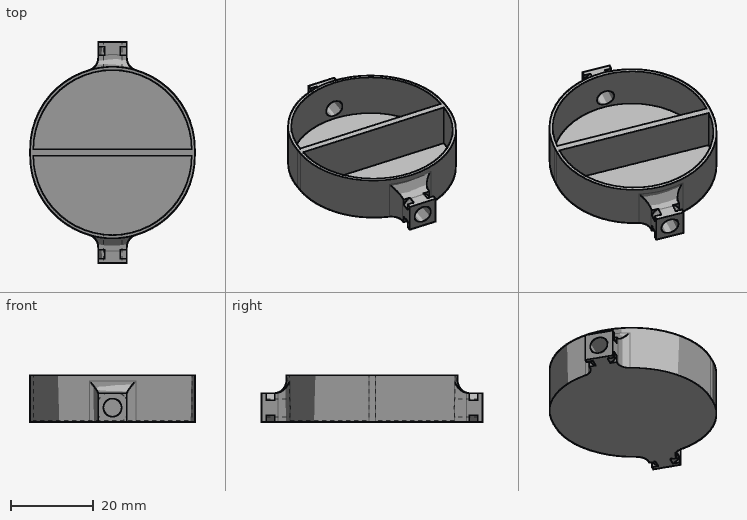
import cadquery as cq
import math

overall_length = 53.6
body_width = 40.0
body_height = 11.4

wall = 0.8
divider = 1.6
floor = 0.45
outer_radius = body_width / 2
inner_radius = outer_radius - wall
half_disc_offset = divider / 2

lug_size = 7.0
lug_half = lug_size / 2
lug_end = overall_length / 2
flare_radius = 3.0
bore_diameter = 4.4

groove_diameter = 7.95
groove_width = 2.15
groove_end_gap = 1.1


def make_body():
    """Solid outline of the cup: two half discs joined by straight sides."""
    return (
        cq.Workplane("XY")
        .moveTo(outer_radius, -half_disc_offset)
        .lineTo(outer_radius, half_disc_offset)
        .threePointArc((0, half_disc_offset + outer_radius), (-outer_radius, half_disc_offset))
        .lineTo(-outer_radius, -half_disc_offset)
        .threePointArc((0, -half_disc_offset - outer_radius), (outer_radius, -half_disc_offset))
        .close()
        .extrude(body_height)
    )


def make_pocket():
    """Half-disc compartment on the +Y side of the divider."""
    return (
        cq.Workplane("XY", origin=(0, half_disc_offset, floor))
        .moveTo(inner_radius, 0)
        .threePointArc((0, inner_radius), (-inner_radius, 0))
        .close()
        .extrude(body_height)
    )


def make_lug_plan():
    """Lug seen in plan, with side flares tangent to the curved wall."""
    centre_x = lug_half + flare_radius
    centre_distance = outer_radius + flare_radius
    angle = math.acos(centre_x / centre_distance)
    centre_y = half_disc_offset + centre_distance * math.sin(angle)
    wall_x = outer_radius * math.cos(angle)
    wall_y = half_disc_offset + outer_radius * math.sin(angle)
    middle_angle = math.pi + angle / 2
    middle_x = centre_x + flare_radius * math.cos(middle_angle)
    middle_y = centre_y + flare_radius * math.sin(middle_angle)
    return (
        cq.Workplane("XY")
        .moveTo(0, half_disc_offset + inner_radius)
        .lineTo(wall_x, wall_y)
        .threePointArc((middle_x, middle_y), (lug_half, centre_y))
        .lineTo(lug_half, lug_end)
        .lineTo(-lug_half, lug_end)
        .lineTo(-lug_half, centre_y)
        .threePointArc((-middle_x, middle_y), (-wall_x, wall_y))
        .close()
        .extrude(body_height)
    )


def make_lug_top():
    """Ring around the cup whose top curves up from the lug to the wall."""
    flare_end = outer_radius + flare_radius
    flare_top = lug_size + flare_radius
    middle = flare_radius * math.sqrt(0.5)
    return (
        cq.Workplane("XZ", origin=(0, half_disc_offset, 0))
        .lineTo(lug_end, 0)
        .lineTo(lug_end, lug_size)
        .lineTo(flare_end, lug_size)
        .threePointArc((flare_end - middle, flare_top - middle), (outer_radius, flare_top))
        .lineTo(0, flare_top)
        .close()
        .revolve(360, (0, 0, 0), (0, 1, 0))
    )


def make_corner_cuts():
    """The four lug corners lying outside the round core of the tie groove."""
    start = lug_end - groove_end_gap
    plane = cq.Workplane("XZ", origin=(0, start, lug_half))
    block = plane.rect(2 * lug_size, 2 * lug_size).extrude(groove_width)
    core = plane.circle(groove_diameter / 2).extrude(groove_width)
    return block.cut(core)


def make_bore():
    """Round bore from the lug's end face into the compartment."""
    depth = lug_end - inner_radius / 2
    return (
        cq.Workplane("XZ", origin=(0, lug_end, lug_half))
        .circle(bore_diameter / 2)
        .extrude(depth)
    )


lug = make_lug_plan().intersect(make_lug_top()).cut(make_corner_cuts())
pocket = make_pocket()
bore = make_bore()

result = make_body()
for turn in (0, 180):
    result = result.union(lug.rotate((0, 0, 0), (0, 0, 1), turn))
for turn in (0, 180):
    result = result.cut(pocket.rotate((0, 0, 0), (0, 0, 1), turn))
    result = result.cut(bore.rotate((0, 0, 0), (0, 0, 1), turn))